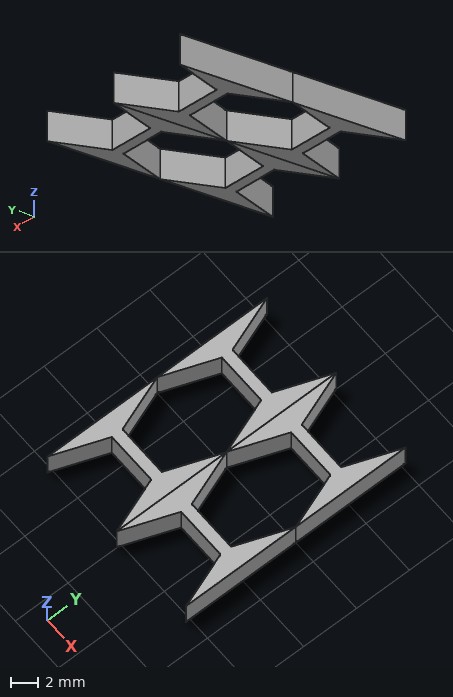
import cadquery as cq

total_width = 16.0
total_length = 20.8
thickness = 2.5
columns = 2
rows = 2

cell_width = total_width / columns
cell_length = total_length / rows
wall_depth = 1.73
bar_height = 1.02


def make_cell(center_x, center_y):
    """Build one cell: side walls widest at the crossbar, tapering to points at both ends."""
    outer_x = cell_width / 2
    inner_x = outer_x - wall_depth
    tip_y = cell_length / 2
    bar_y = bar_height / 2
    outline = [
        (-outer_x, -tip_y),
        (-inner_x, -bar_y),
        (inner_x, -bar_y),
        (outer_x, -tip_y),
        (outer_x, tip_y),
        (inner_x, bar_y),
        (-inner_x, bar_y),
        (-outer_x, tip_y),
    ]
    cell = cq.Workplane("XY").polyline(outline).close().extrude(thickness)
    return cell.translate((center_x, center_y, 0)).val()


cells = []
for column in range(columns):
    for row in range(rows):
        x = (column - (columns - 1) / 2) * cell_width
        y = (row - (rows - 1) / 2) * cell_length
        cells.append(make_cell(x, y))

result = cq.Compound.makeCompound(cells)